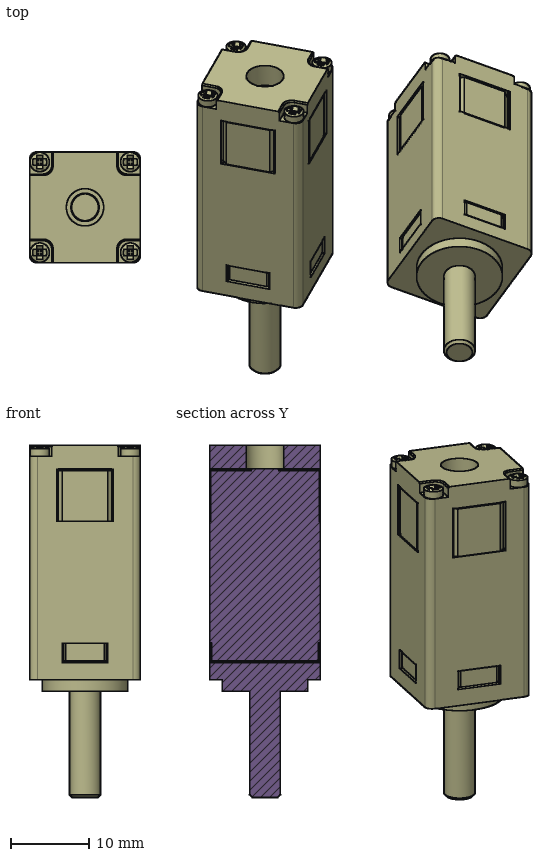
import cadquery as cq

total_height = 45.1
body_width = 14.2
body_height = 30.05
corner_radius = 1.0
flange_diameter = 11.0
flange_height = 1.5
shaft_diameter = 4.0
shaft_chamfer = 0.35

bore_diameter = 4.8
shaft_end_diameter = 3.6
shaft_end_height = 0.23
shaft_end_chamfer = 0.1

pocket_width = 2.85
pocket_depth = 1.4
pocket_radius = 1.1
pocket_chamfer = 0.2

screw_inset = 1.3
head_diameter = 2.5
head_side_height = 0.95
dome_height = 0.35
recess_length = 2.15
recess_width = 0.8
recess_floor_length = 0.25
recess_depth = 0.8

rebate_depth = 0.25
core_clearance = 0.2
upper_window_width = 7.25
upper_window_height = 6.67
upper_window_top = 42.05
upper_ledge = 0.23
upper_core_width = 13.95
upper_core_flat = 5.85
lower_window_width = 5.85
lower_window_height = 2.5
lower_window_bottom = 17.27
lower_ledge = 0.2
lower_core_width = 13.75
lower_core_flat = 4.95

half_width = body_width / 2
head_height = head_side_height + dome_height
body_bottom = total_height - body_height
flange_bottom = body_bottom - flange_height
pocket_floor = total_height - pocket_depth
upper_window_bottom = upper_window_top - upper_window_height
upper_core_top = upper_window_top - core_clearance
screw_offset = half_width - screw_inset


def cylinder(diameter, bottom, height):
    return cq.Workplane("XY").workplane(offset=bottom).circle(diameter / 2).extrude(height)


def box(size_x, size_y, bottom, height):
    return cq.Workplane("XY").workplane(offset=bottom).rect(size_x, size_y).extrude(height)


def octagon(width, flat, bottom, height):
    """Square prism whose vertical edges are cut at 45 degrees, leaving sides of length flat."""
    return box(width, width, bottom, height).edges("|Z").chamfer((width - flat) / 2)


def window_clearance(width, ledge, bottom, height, core_width, core_flat, core_bottom, core_height):
    """Space behind one window on each side: a stepped opening joined by 45 degree channels."""
    channel_width = body_width - 2 * rebate_depth
    channel_flat = width - 2 * ledge
    clearance = octagon(channel_width, channel_flat, bottom, height)
    rebate = box(width, body_width, bottom, height).union(box(body_width, width, bottom, height))
    rebate = rebate.cut(box(channel_width, channel_width, bottom, height))
    clearance = clearance.union(rebate)
    return clearance.cut(octagon(core_width, core_flat, core_bottom, core_height))


def rounded_square_cut(size, radius, depth, taper=0):
    """Cutter centred on the +X +Y body corner, reaching down from the top face."""
    outline = cq.Sketch().rect(size, size).vertices().fillet(radius)
    return (
        cq.Workplane("XY")
        .workplane(offset=total_height)
        .center(half_width, half_width)
        .placeSketch(outline)
        .extrude(-depth, taper=taper)
    )


def corner_pocket():
    """Pocket with a rounded inner edge and a 45 degree chamfered rim."""
    pocket = rounded_square_cut(2 * pocket_width, pocket_radius, pocket_depth)
    rim_size = 2 * (pocket_width + pocket_chamfer)
    rim = rounded_square_cut(rim_size, pocket_radius + pocket_chamfer, pocket_chamfer, taper=45)
    return pocket.union(rim)


def recess_arm():
    """One bar of the cross recess, narrowing along its length towards its floor."""
    half_length = recess_length / 2
    half_floor = recess_floor_length / 2
    return (
        cq.Workplane("XZ")
        .polyline([
            (-half_length, head_height),
            (-half_floor, head_height - recess_depth),
            (half_floor, head_height - recess_depth),
            (half_length, head_height),
        ])
        .close()
        .extrude(recess_width / 2, both=True)
    )


def screw_head():
    """Domed head with a cross recess, standing on the XY plane."""
    head_radius = head_diameter / 2
    dome_radius = (head_radius ** 2 + dome_height ** 2) / (2 * dome_height)
    dome = cq.Workplane("XY").sphere(dome_radius).translate((0, 0, head_height - dome_radius))
    head = cylinder(head_diameter, 0, head_height).intersect(dome)
    arm = recess_arm()
    return head.cut(arm).cut(arm.rotate((0, 0, 0), (0, 0, 1), 90))


result = box(body_width, body_width, body_bottom, body_height).edges("|Z").fillet(corner_radius)
result = result.union(cylinder(flange_diameter, flange_bottom, flange_height))
shaft = cylinder(shaft_diameter, 0, body_bottom).faces("<Z").chamfer(shaft_chamfer)
result = result.union(shaft)

result = result.cut(window_clearance(
    upper_window_width, upper_ledge, upper_window_bottom, upper_window_height,
    upper_core_width, upper_core_flat,
    upper_window_bottom, upper_window_height - core_clearance,
))

result = result.cut(window_clearance(
    lower_window_width, lower_ledge, lower_window_bottom, lower_window_height,
    lower_core_width, lower_core_flat,
    lower_window_bottom + core_clearance, lower_window_height - core_clearance,
))

result = result.cut(cylinder(bore_diameter, upper_core_top, total_height - upper_core_top))
shaft_end = cylinder(shaft_end_diameter, upper_core_top, shaft_end_height)
result = result.union(shaft_end.faces(">Z").chamfer(shaft_end_chamfer))

pocket = corner_pocket()
screw = screw_head().translate((screw_offset, screw_offset, pocket_floor))
for quarter in range(4):
    angle = 90 * quarter
    result = result.cut(pocket.rotate((0, 0, 0), (0, 0, 1), angle))
    result = result.union(screw.rotate((0, 0, 0), (0, 0, 1), angle))